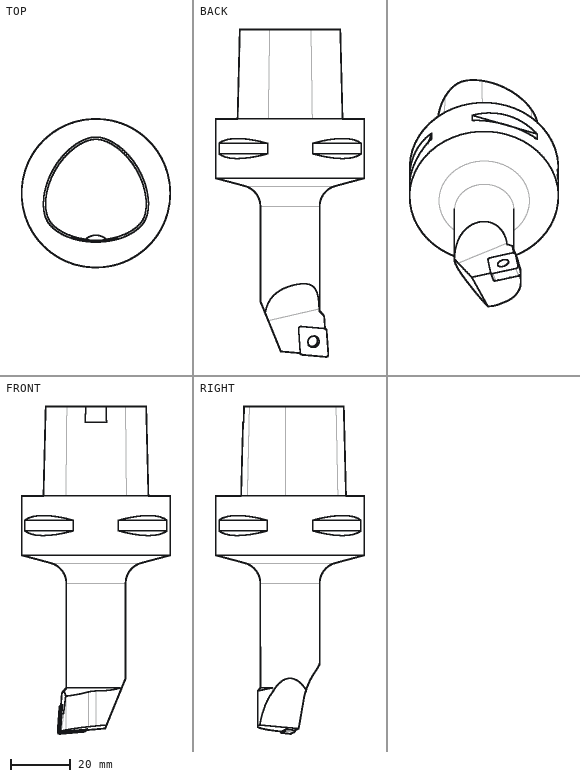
import cadquery as cq
import math


taper_length = 30.0
polygon_diameter = 35.3
polygon_eccentricity = 1.2
taper_ratio = 1 / 20
lobe_count = 3
lobe_half_angle = 36.0
points_per_segment = 9
key_radius = 5.0
key_axis_y = -19.1
key_depth = 5.3

flange_radius = 25.0
flange_height = 20.0
slot_count = 4
slot_wall_distance = 22.2
slot_wall_height = 3.5
slot_flare_angle = 30.0
slot_z = -flange_height / 2

shank_radius = 10.0
neck_angle = 15.0
neck_fillet = 7.0
shank_end_z = -64.5
seam_angle = 120.0

head_front_y = -10.9
head_flat_left_x = -2.5
head_flat_right_x = 0.0
head_left_radius = 9.7
head_right_radius = 9.0
wall_corner = (-10.2, -7.1)
wall_middle = (-11.5, -4.4)
wall_end = (-12.2, 0.0)
head_cone_angle = 41.0
head_bottom_z = -82.0

slant_start_z = -61.3
slant_angle = 22.2

rake_slope_x = 0.17
rake_slope_z = 0.105
runout_slope = -0.23
runout_z = -66.0
runout_radius = 13.0

insert_circle = 9.525
insert_corner_angle = 80.0
insert_side = insert_circle / math.sin(math.radians(insert_corner_angle))
insert_thickness = 3.18
insert_nose_radius = 0.8
insert_hole_diameter = 3.81
approach_angle = 5.0
nose_center = (-12.1, 0.25, -79.2)
holder_inset = 0.5

CUT = 60.0


def polygon_point(mean_radius, angle):
    """Point of the taper section whose outward normal is `angle` from the +Y lobe."""
    support = mean_radius + polygon_eccentricity * math.cos(lobe_count * angle)
    slope = -lobe_count * polygon_eccentricity * math.sin(lobe_count * angle)
    along = support * math.cos(angle) - slope * math.sin(angle)
    across = support * math.sin(angle) + slope * math.cos(angle)
    return -across, along


def polygon_wire(mean_radius, z):
    """Closed section of lobes alternating with flatter sides."""
    half = math.radians(lobe_half_angle)
    pitch = 2 * math.pi / lobe_count
    edges = []
    for lobe in range(lobe_count):
        center = lobe * pitch
        for start, end in ((center - half, center + half), (center + half, center + pitch - half)):
            step = (end - start) / (points_per_segment - 1)
            angles = [start + i * step for i in range(points_per_segment)]
            points = [cq.Vector(*polygon_point(mean_radius, a), z) for a in angles]
            tangents = [cq.Vector(-math.cos(a), -math.sin(a), 0) for a in (start, end)]
            edges.append(cq.Edge.makeSpline(points, tangents=tangents))
    return cq.Wire.assembleEdges(edges)


def make_taper():
    base_radius = polygon_diameter / 2
    top_radius = base_radius - taper_length * taper_ratio / 2
    sections = [polygon_wire(base_radius, 0), polygon_wire(top_radius, taper_length)]
    taper = cq.Workplane(cq.Solid.makeLoft(sections, True))
    key = (
        cq.Workplane("XY", origin=(0, key_axis_y, taper_length))
        .circle(key_radius)
        .extrude(-key_depth)
    )
    return taper.cut(key)


def make_turned_body():
    """Flange, conical neck with its fillet, and shank."""
    slope = math.radians(neck_angle)
    corner_z = -flange_height - (flange_radius - shank_radius) * math.tan(slope)
    tangent = neck_fillet * math.tan((math.pi / 2 - slope) / 2)
    fillet_end = (shank_radius, corner_z - tangent)
    fillet_start = (shank_radius + tangent * math.cos(slope), corner_z + tangent * math.sin(slope))
    return (
        cq.Workplane("XZ")
        .lineTo(flange_radius, 0)
        .lineTo(flange_radius, -flange_height)
        .lineTo(*fillet_start)
        .radiusArc(fillet_end, -neck_fillet)
        .lineTo(shank_radius, shank_end_z)
        .lineTo(0, shank_end_z)
        .close()
        .revolve(360, (0, 0, 0), (0, 1, 0))
        .rotate((0, 0, 0), (0, 0, 1), seam_angle)
    )


def make_gripper_slot():
    """Flared slot tool for the +X side."""
    depth = flange_radius - slot_wall_distance
    inner = slot_wall_height / 2
    outer = inner + depth * math.tan(math.radians(slot_flare_angle))
    return (
        cq.Workplane("XZ", origin=(slot_wall_distance, 0, slot_z))
        .polyline([(0, -inner), (depth, -outer), (depth, outer), (0, inner)])
        .close()
        .extrude(flange_radius, both=True)
    )


def rake_vector(x, z):
    """Direction in the rake plane with the given x and z parts."""
    return cq.Vector(x, rake_slope_x * x + rake_slope_z * z, z)


rake_normal = cq.Vector(-rake_slope_x, 1, -rake_slope_z).normalized()

insert_plane = cq.Plane(
    origin=nose_center,
    xDir=rake_vector(1, math.tan(math.radians(approach_angle))),
    normal=rake_normal * -1,
)


def rhombus(side, inset):
    """Corners of a rhombus whose first two sides lie `inset` from the nose centre."""
    corner = math.radians(insert_corner_angle)
    x0 = -inset / math.tan(corner / 2)
    y0 = -inset
    rise = (side * math.cos(corner), side * math.sin(corner))
    return [
        (x0, y0),
        (x0 + side, y0),
        (x0 + side + rise[0], y0 + rise[1]),
        (x0 + rise[0], y0 + rise[1]),
    ]


def make_holder_envelope():
    """Space between the two relief faces, parallel to the insert sides and inset from them."""
    corners = rhombus(CUT, insert_nose_radius - holder_inset)
    return cq.Workplane(insert_plane).polyline(corners).close().extrude(CUT, both=True)


def make_head():
    """Eccentric prism below the shank, topped by the cone and clipped beside the insert."""
    center_y = head_front_y + head_right_radius
    merge_y = (shank_radius**2 - head_right_radius**2 + center_y**2) / (2 * center_y)
    merge = (math.sqrt(shank_radius**2 - merge_y**2), merge_y)
    prism = (
        cq.Workplane("XY", origin=(0, 0, shank_end_z))
        .moveTo(head_flat_left_x, head_front_y)
        .lineTo(head_flat_right_x, head_front_y)
        .radiusArc(merge, -head_right_radius)
        .threePointArc((shank_radius, 0), (0, shank_radius))
        .lineTo(wall_end[0], shank_radius)
        .lineTo(*wall_end)
        .threePointArc(wall_middle, wall_corner)
        .radiusArc((head_flat_left_x, head_front_y), -head_left_radius)
        .close()
        .extrude(head_bottom_z - shank_end_z)
    )
    height = shank_end_z - head_bottom_z
    spread = shank_radius + height * math.tan(math.radians(head_cone_angle))
    cone = cq.Workplane(
        cq.Solid.makeCone(spread, shank_radius, height, pnt=cq.Vector(0, 0, head_bottom_z))
    )
    cone = cone.rotate((0, 0, 0), (0, 0, 1), seam_angle)
    return prism.intersect(cone).intersect(make_holder_envelope())


def make_insert_blank():
    corners = rhombus(insert_side, insert_nose_radius)
    blank = cq.Workplane(insert_plane).polyline(corners).close().extrude(insert_thickness)
    corner_edges = cq.selectors.ParallelDirSelector(insert_plane.zDir)
    return blank.edges(corner_edges).fillet(insert_nose_radius)


def make_insert():
    corners = rhombus(insert_side, insert_nose_radius)
    middle = ((corners[0][0] + corners[2][0]) / 2, (corners[0][1] + corners[2][1]) / 2)
    hole = (
        cq.Workplane(insert_plane)
        .center(*middle)
        .circle(insert_hole_diameter / 2)
        .extrude(insert_thickness)
    )
    return make_insert_blank().cut(hole)


def make_rake_cutter():
    """Clears the +Y side down to the rake plane, with a round runout up the shank."""
    nose = cq.Vector(*nose_center)
    origin = nose + rake_vector(-nose.x, runout_z - nose.z)
    across = rake_vector(1, runout_slope).normalized()
    up = across.cross(rake_normal)
    plane = cq.Plane(origin=origin, xDir=up, normal=up.cross(rake_normal))
    return (
        cq.Workplane(plane)
        .moveTo(-CUT, 0)
        .lineTo(0, 0)
        .radiusArc((runout_radius, runout_radius), -runout_radius)
        .lineTo(-CUT, runout_radius)
        .close()
        .extrude(CUT, both=True)
    )


def make_slant_cutter():
    """Wedge beyond a slanted plane that leaves the shank surface at the slant start."""
    return (
        cq.Workplane("XY")
        .box(CUT, CUT, CUT, centered=(False, True, True))
        .rotate((0, 0, 0), (0, 1, 0), slant_angle)
        .translate((shank_radius, 0, slant_start_z))
    )


holder = make_turned_body().union(make_taper()).union(make_head())
for index in range(slot_count):
    angle = (index + 0.5) * 360 / slot_count
    holder = holder.cut(make_gripper_slot().rotate((0, 0, 0), (0, 0, 1), angle))
holder = holder.cut(make_slant_cutter()).cut(make_rake_cutter()).cut(make_insert_blank())
insert = make_insert()

result = cq.Compound.makeCompound([holder.solids().val(), insert.solids().val()])